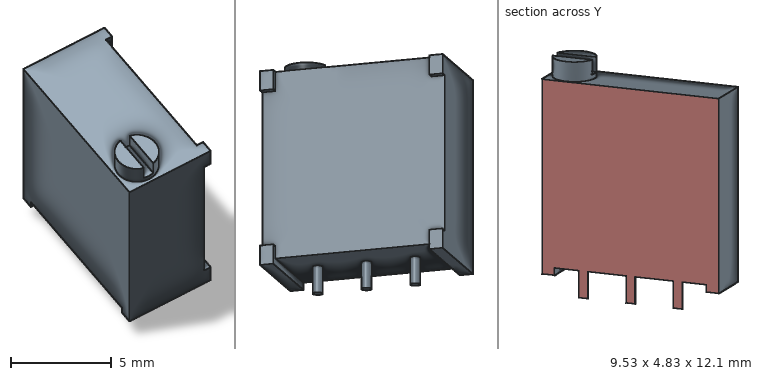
import cadquery as cq

overall_height = 12.05
body_width = 9.53
body_depth = 4.83
body_height = 10.03
foot_width = 0.69
back_foot_height = 1.0
standoff = 0.37

pin_diameter = 0.51
pin_pitch = 2.54
pin_length = 1.01
pin_from_front = 2.41

screw_diameter = 2.19
screw_height = overall_height - body_height - pin_length
screw_x = 3.5
screw_from_front = 1.28
slot_width = 0.55
slot_depth = 0.76


def box(width, depth, height, x, y, z):
    """Box centred on x, starting at y and z."""
    return cq.Workplane("XY").box(width, depth, height, centered=(True, False, False)).translate((x, y, z))


def make_housing():
    """Block with two bottom rails and four feet at the corners of its back."""
    inner_width = body_width - 2 * foot_width
    back_y = body_depth - standoff
    housing = box(body_width, body_depth, body_height, 0, 0, 0)
    housing = housing.cut(box(inner_width, body_depth, standoff, 0, 0, 0))
    housing = housing.cut(box(inner_width, standoff, body_height, 0, back_y, 0))
    side_gap_height = body_height - 2 * back_foot_height
    return housing.cut(box(body_width, standoff, side_gap_height, 0, back_y, back_foot_height))


def make_pin(x):
    """Round terminal running from the recessed underside to below the rails."""
    pin = cq.Workplane("XY").circle(pin_diameter / 2).extrude(pin_length + standoff)
    return pin.translate((x, pin_from_front, -pin_length))


def make_screw():
    """Screw head with a slot along X."""
    head = cq.Workplane("XY").circle(screw_diameter / 2).extrude(screw_height)
    slot = box(screw_diameter, slot_width, slot_depth, 0, -slot_width / 2, screw_height - slot_depth)
    return head.cut(slot).translate((screw_x, screw_from_front, body_height))


result = make_housing().union(make_screw())
for pin_x in (-pin_pitch, 0, pin_pitch):
    result = result.union(make_pin(pin_x))